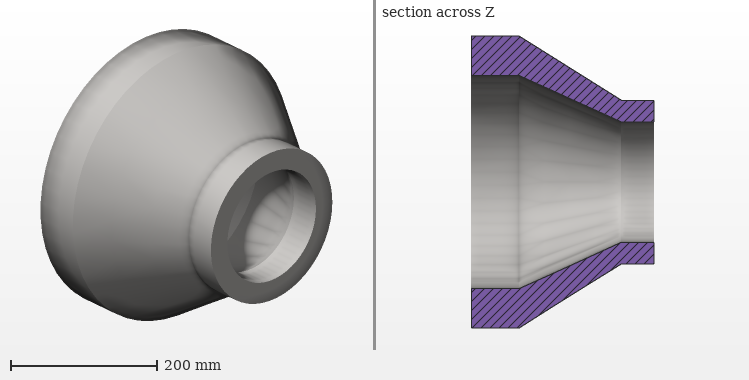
import cadquery as cq

total_length = 250.0
large_end_length = 65.5
small_end_length = 45.0
large_outer_diameter = 400.0
small_outer_diameter = 225.0
large_bore_diameter = 291.0
small_bore_diameter = 164.0

cone_start = large_end_length
cone_end = total_length - small_end_length


def stepped_cone(large_diameter, small_diameter):
    """Solid with a large cylinder, a cone and a small cylinder along +X."""
    large_radius = large_diameter / 2
    small_radius = small_diameter / 2
    return (
        cq.Workplane("XY")
        .polyline([
            (0, 0),
            (0, large_radius),
            (cone_start, large_radius),
            (cone_end, small_radius),
            (total_length, small_radius),
            (total_length, 0),
        ])
        .close()
        .revolve(360, (0, 0, 0), (1, 0, 0))
    )


outer_body = stepped_cone(large_outer_diameter, small_outer_diameter)
bore = stepped_cone(large_bore_diameter, small_bore_diameter)
result = outer_body.cut(bore)